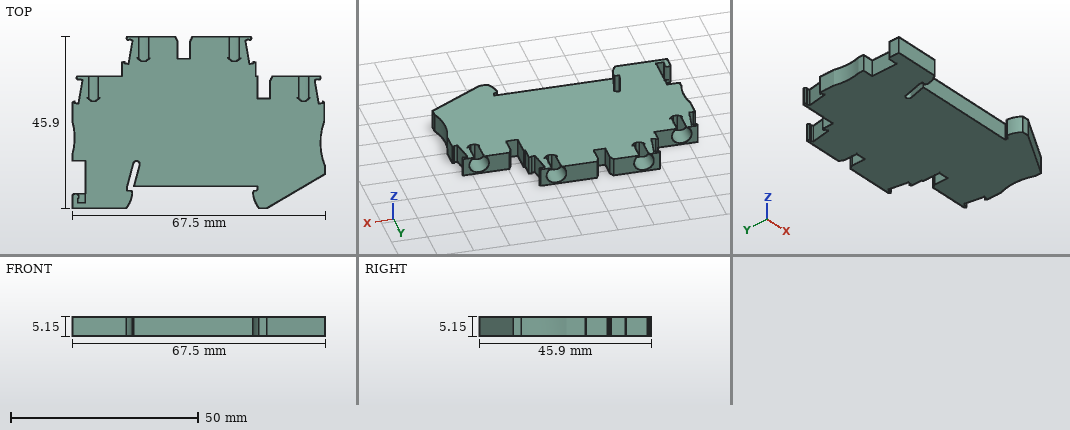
import cadquery as cq
import math

length = 67.55
height = 45.9
thickness = 5.15

upper_top = height
lower_top = 35.25
upper_left_tip = 14.45
upper_right_tip = 47.9
lower_left_tip = 1.1
lower_right_tip = 66.4
upper_left_side = 13.25
upper_right_side = 49.05
right_side = 67.35

latch_points = [
    (0.2, 0),
    (0, 0.5),
    (0.35, 0.95),
    (1.0, 0.8),
    (1.6, 1.1),
    (0.55, 7.3),
    (-0.55, 7.1),
    (-0.5, 6.7),
]
upper_shoulder_drop = 6.9
lower_shoulder_drop = 7.0

notch_width = 3.25
notch_depth = 5.9
notch_chamfer_x = 0.7
notch_chamfer_y = 1.35
upper_notch_left = 28.2
lower_notch_left = 49.5

hole_inset = 4.6
hole_radius = 2.4
hole_flat_width = 0.6
hole_opening_width = 2.65
hole_depth = 6.6
hole_end_width = 1.1
hole_end_chamfer = 1.7
hole_axis_drop = math.sqrt(hole_radius**2 - ((hole_opening_width - hole_flat_width) / 2) ** 2)

hollow_top = 23.25
left_hollow_bottom = 14.4
left_hollow_depth = 0.6
right_hollow_bottom = 11.2
right_hollow_x = 66.35

recess_top = 12.6
recess_depth = 3.5
hook_floor = 1.4
hook_shoulder = 3.3
hook_tip = 3.9
hook_width = 1.7
hook_root_width = 1.4
hook_root_top = 2.5
hook_web_thickness = 1.0

seat_y = 5.9
clip_top = 4.7
left_clip_toe = 14.45
left_clip_nose = 16.1
right_clip_nose = 48.2
right_clip_toe = 49.85
right_clip_root = 49.45
clip_nose_y = 4.05
clip_mid_y = 2.0
clip_mid_inset = 0.5
nose_round_inset = 0.3
root_round = 0.3

slot_angle = math.radians(15)
slot_width = 1.7
slot_end_x = 17.15
slot_end_y = 11.75
slot_foot_y = 5.7

slope_start = 52.0
slope_end_y = 9.1


def latch(tip_x, top, inward):
    """Latch points from the tier top down to the shoulder; inward is +1 or -1 along X."""
    return [(tip_x + inward * dx, top - drop) for dx, drop in latch_points]


def slot_side(side, y):
    """Point at height y on the left (-1) or right (+1) side of the slanted slot."""
    x = slot_end_x + side * slot_width / 2 / math.cos(slot_angle)
    return (x + (y - slot_end_y) * math.tan(slot_angle), y)


def slot_tangent(side):
    """Point where a straight side of the slanted slot meets its round end."""
    half = slot_width / 2
    return (slot_end_x + side * half * math.cos(slot_angle), slot_end_y - side * half * math.sin(slot_angle))


def upper_edge():
    """Points of the stepped upper edge, from the left end to the right end."""
    upper_floor = upper_top - notch_depth
    lower_floor = lower_top - notch_depth
    upper_notch_right = upper_notch_left + notch_width
    lower_notch_right = lower_notch_left + notch_width
    points = [(0, lower_top - lower_shoulder_drop)]
    points += reversed(latch(lower_left_tip, lower_top, 1))
    points += [(upper_left_side, lower_top), (upper_left_side, upper_top - upper_shoulder_drop)]
    points += reversed(latch(upper_left_tip, upper_top, 1))
    points += [
        (upper_notch_left - notch_chamfer_x, upper_top),
        (upper_notch_left, upper_top - notch_chamfer_y),
        (upper_notch_left, upper_floor),
        (upper_notch_right, upper_floor),
        (upper_notch_right, upper_top - notch_chamfer_y),
        (upper_notch_right + notch_chamfer_x, upper_top),
    ]
    points += latch(upper_right_tip, upper_top, -1)
    points += [
        (upper_right_side, upper_top - upper_shoulder_drop),
        (upper_right_side, lower_top),
        (lower_notch_left, lower_top),
        (lower_notch_left, lower_floor),
        (lower_notch_right, lower_floor),
        (lower_notch_right, lower_top - notch_chamfer_y),
        (lower_notch_right + notch_chamfer_x, lower_top),
    ]
    points += latch(lower_right_tip, lower_top, -1)
    points += [(right_side, lower_top - lower_shoulder_drop)]
    return points


def plate():
    slot_tip = (
        slot_end_x + slot_width / 2 * math.sin(slot_angle),
        slot_end_y + slot_width / 2 * math.cos(slot_angle),
    )
    outline = (
        cq.Workplane("XY")
        .polyline(upper_edge())
        .lineTo(right_side, hollow_top)
        .threePointArc((right_hollow_x, (hollow_top + right_hollow_bottom) / 2), (length, right_hollow_bottom))
        .lineTo(length, slope_end_y)
        .lineTo(slope_start, 0)
        .lineTo(right_clip_toe, 0)
        .threePointArc((right_clip_nose + clip_mid_inset, clip_mid_y), (right_clip_nose, clip_nose_y))
        .lineTo(right_clip_nose + nose_round_inset, clip_top)
        .lineTo(right_clip_root - root_round, clip_top)
        .lineTo(right_clip_root, clip_top + root_round)
        .lineTo(right_clip_root, seat_y)
        .lineTo(*slot_side(1, seat_y))
        .lineTo(*slot_tangent(1))
        .threePointArc(slot_tip, slot_tangent(-1))
        .lineTo(*slot_side(-1, slot_foot_y))
        .lineTo(slot_side(-1, slot_foot_y)[0], clip_top)
        .lineTo(left_clip_nose - nose_round_inset, clip_top)
        .lineTo(left_clip_nose, clip_nose_y)
        .threePointArc((left_clip_nose - clip_mid_inset, clip_mid_y), (left_clip_toe, 0))
        .lineTo(0, 0)
        .lineTo(0, hook_shoulder)
        .threePointArc((hook_width / 2, hook_tip), (hook_width, hook_shoulder))
        .lineTo(hook_width, hook_root_top + root_round)
        .lineTo(hook_root_width, hook_root_top)
        .lineTo(hook_root_width, hook_floor)
        .lineTo(recess_depth, hook_floor)
        .lineTo(recess_depth, recess_top)
        .lineTo(0, recess_top)
        .lineTo(0, left_hollow_bottom)
        .threePointArc((left_hollow_depth, (hollow_top + left_hollow_bottom) / 2), (0, hollow_top))
        .close()
    )
    return outline.extrude(thickness)


def hook_web():
    """Thin web closing the lower side of the gap behind the hook."""
    left = hook_width / 2
    return cq.Workplane("XY").box(
        recess_depth - left, hook_tip - hook_floor, hook_web_thickness, centered=False
    ).translate((left, hook_floor, 0))


def conductor_hole(x, top):
    """Obround hole along Y whose closed end is narrowed by two slanted walls."""
    width = hole_flat_width + 2 * hole_radius
    bore = (
        cq.Workplane("XZ", origin=(x, top, thickness - hole_axis_drop))
        .slot2D(width, 2 * hole_radius)
        .extrude(hole_depth)
    )
    chamfer_y = top - hole_depth + hole_end_chamfer
    plan = (
        cq.Workplane("XY")
        .polyline([
            (x - width / 2, top),
            (x - width / 2, chamfer_y),
            (x - hole_end_width / 2, top - hole_depth),
            (x + hole_end_width / 2, top - hole_depth),
            (x + width / 2, chamfer_y),
            (x + width / 2, top),
        ])
        .close()
        .extrude(thickness + hole_radius)
    )
    return bore.intersect(plan)


result = plate().union(hook_web())
for hole_x, tier_top in [
    (upper_left_tip + hole_inset, upper_top),
    (upper_right_tip - hole_inset, upper_top),
    (lower_left_tip + hole_inset, lower_top),
    (lower_right_tip - hole_inset, lower_top),
]:
    result = result.cut(conductor_hole(hole_x, tier_top))